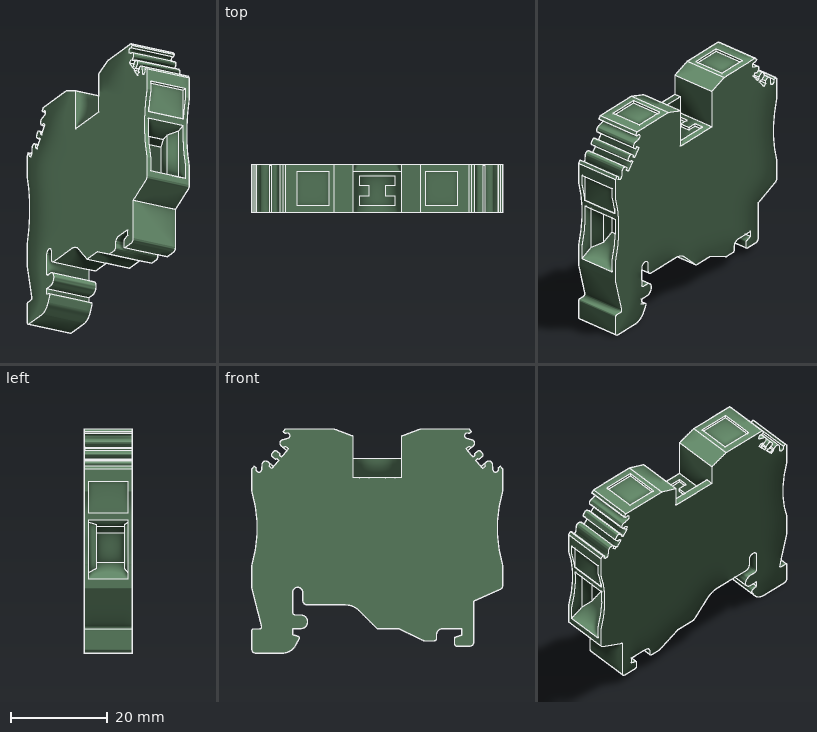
import cadquery as cq
import math

LENGTH = 52.0
WIDTH = 10.0
HEIGHT = 46.5
HALF_LENGTH = LENGTH / 2
HALF_WIDTH = WIDTH / 2
CLEARANCE = 1.0

SLOT_HALF_LENGTH = 5.0
SLOT_FLOOR_Z = 36.4
SHOULDER_HALF_LENGTH = 9.0
SHOULDER_Z = 45.0
BACK_WALL_THICKNESS = 1.5
BACK_WALL_TOP_Z = 40.35

WAIST_TOP_Z = 33.5
WAIST_BOTTOM_Z = 18.3
WAIST_DEPTH = 1.1
END_FACE_BOTTOM_Z = 13.45

RAIL_Z = 5.07
BODY_BOTTOM_Z = 10.0
HOOK_INNER_X = -17.5
FINGER_RADIUS = 1.45
FINGER_CENTER_X = -15.87
FLEX_SLOT_RADIUS = 1.02
FLEX_SLOT_TOP_Z = 13.65
FOOT_NECK_X = -23.87
RIGHT_LEG_X = 20.0
RIGHT_LEG_TOP_Z = 10.78
RIGHT_LEG_BOTTOM_Z = 1.45
LATCH_ROOT_X = 17.5
LATCH_TIP_X = 16.0
LATCH_ROOT_Z = 3.8
LATCH_TIP_Z = 3.3
LUG_X = 12.3
LUG_FLAT_X = 9.7
LUG_BOTTOM_Z = 2.54
LUG_SLOPE_X = 4.45
LUG_FILLET = 1.25

HOOK_ROOT_Z = 3.86
HOOK_TIP = (-15.95, 3.4)
HOOK_KNEE = (-16.85, 1.72)
HOOK_ARC_MIDDLE = (-17.95, 0.5)
HOOK_ARC_END = (-19.45, 0.0)

CORNER_FILLETS = [
    (0.4, [(-HALF_LENGTH, RAIL_Z), (FOOT_NECK_X, RAIL_Z), HOOK_TIP]),
    (0.3, [(LATCH_TIP_X, LATCH_TIP_Z)]),
    (0.5, [(LUG_X, LUG_BOTTOM_Z), (LATCH_TIP_X, RIGHT_LEG_BOTTOM_Z)]),
    (0.5, [(HOOK_INNER_X, RAIL_Z + 2 * FINGER_RADIUS)]),
    (0.8, [(-HALF_LENGTH, 0), (RIGHT_LEG_X, RIGHT_LEG_BOTTOM_Z)]),
    (0.8, [(-HALF_LENGTH, END_FACE_BOTTOM_Z), (HALF_LENGTH, END_FACE_BOTTOM_Z)]),
    (1.0, [(-HALF_LENGTH, WAIST_TOP_Z), (HALF_LENGTH, WAIST_TOP_Z)]),
    (1.0, [(-HALF_LENGTH, WAIST_BOTTOM_Z), (HALF_LENGTH, WAIST_BOTTOM_Z)]),
    (1.0, [(HOOK_INNER_X + 2 * FLEX_SLOT_RADIUS, BODY_BOTTOM_Z)]),
    (LUG_FILLET, [(LUG_X, RAIL_Z)]),
    (4.0, [(RAIL_Z - BODY_BOTTOM_Z, BODY_BOTTOM_Z)]),
]

CORNER_TILT = math.radians(40)
CORNER_HALF_SPAN = 5.43
TOOTH_DEPTH = 1.85
GROOVE_FLOOR = 1.28
TOOTH_FRONT = -0.72
TOOTH_BACK = 0.6
TOOTH_HALF_WIDTH = 0.75
TOOTH_ROUND = 0.48
NECK_START = 0.85
NECK_HALF_WIDTH = 0.45
NOSE_CENTER = (-0.25, 2.88)
NOSE_RADIUS = 0.75
CHANNEL_CENTER = (-0.66, 4.56)
CHANNEL_RADIUS = 0.55
LIP_OFFSET = 4.65
LIP_INNER_DEPTH = -1.28
UNDERCUT_START = 0.2
UNDERCUT_FULL = 0.55
UNDERCUT_OFFSET = 2.67
UNDERCUT_BACK_SKIN = 0.2

MARK_DEPTH = 0.6
TOP_MARK_CENTER_X = 13.3
TOP_MARK_LENGTH = 6.55
TOP_MARK_WIDTH = 7.1
BRIDGE_MARK_LENGTH = 7.45
BRIDGE_MARK_STEM = 3.45
BRIDGE_MARK_CENTER_Y = -0.48
BRIDGE_MARK_WIDTH = 6.16
BRIDGE_MARK_BAR = 2.0

END_OPENING_HALF_WIDTH = 4.08
END_RECESS_BOTTOM_Z = 29.1
END_RECESS_TOP_Z = 35.6
END_RECESS_DEPTH = 1.0
FUNNEL_BOTTOM_Z = 15.35
FUNNEL_TOP_Z = 27.9
FUNNEL_TAPER_START = 3.0
FUNNEL_TAPER_END = 5.0
FUNNEL_DEPTH = 7.7
FUNNEL_BACK_BOTTOM_Z = 18.8
FUNNEL_KINK_DEPTH = 6.6
FUNNEL_KINK_Z = 26.25
FUNNEL_BACK_TOP_Z = 24.95
FUNNEL_INNER_MIN_Y = -3.35
FUNNEL_INNER_MAX_Y = 2.45


def front_plane(y):
    """Plane parallel to XZ at the given y; extrusions from it run toward -Y."""
    return cq.Workplane("XZ", origin=(0, y, 0))


def mirrored_pair(shape):
    """The shape together with its mirror image across the YZ plane."""
    return shape.union(shape.mirror("YZ"))


def outline():
    """Profile of the block with plain slanted upper corners and sharp foot corners."""
    corner_x = HALF_LENGTH - 2 * CORNER_HALF_SPAN * math.sin(CORNER_TILT)
    corner_z = HEIGHT - 2 * CORNER_HALF_SPAN * math.cos(CORNER_TILT)
    waist_x = HALF_LENGTH - WAIST_DEPTH
    waist_z = (WAIST_TOP_Z + WAIST_BOTTOM_Z) / 2
    ramp_x = RAIL_Z - BODY_BOTTOM_Z
    finger_z = RAIL_Z + FINGER_RADIUS
    finger_top_z = RAIL_Z + 2 * FINGER_RADIUS
    flex_center_x = HOOK_INNER_X + FLEX_SLOT_RADIUS
    flex_right_x = HOOK_INNER_X + 2 * FLEX_SLOT_RADIUS
    flex_spring_z = FLEX_SLOT_TOP_Z - FLEX_SLOT_RADIUS
    return (
        front_plane(HALF_WIDTH)
        .moveTo(-corner_x, HEIGHT)
        .lineTo(-SHOULDER_HALF_LENGTH, HEIGHT)
        .lineTo(-SLOT_HALF_LENGTH, SHOULDER_Z)
        .lineTo(-SLOT_HALF_LENGTH, SLOT_FLOOR_Z)
        .lineTo(SLOT_HALF_LENGTH, SLOT_FLOOR_Z)
        .lineTo(SLOT_HALF_LENGTH, SHOULDER_Z)
        .lineTo(SHOULDER_HALF_LENGTH, HEIGHT)
        .lineTo(corner_x, HEIGHT)
        .lineTo(HALF_LENGTH, corner_z)
        .lineTo(HALF_LENGTH, WAIST_TOP_Z)
        .threePointArc((waist_x, waist_z), (HALF_LENGTH, WAIST_BOTTOM_Z))
        .lineTo(HALF_LENGTH, END_FACE_BOTTOM_Z)
        .lineTo(RIGHT_LEG_X, RIGHT_LEG_TOP_Z)
        .lineTo(RIGHT_LEG_X, RIGHT_LEG_BOTTOM_Z)
        .lineTo(LATCH_TIP_X, RIGHT_LEG_BOTTOM_Z)
        .lineTo(LATCH_TIP_X, LATCH_TIP_Z)
        .lineTo(LATCH_ROOT_X, LATCH_ROOT_Z)
        .lineTo(LATCH_ROOT_X, RAIL_Z)
        .lineTo(LUG_X, RAIL_Z)
        .lineTo(LUG_X, LUG_BOTTOM_Z)
        .lineTo(LUG_FLAT_X, LUG_BOTTOM_Z)
        .lineTo(LUG_SLOPE_X, RAIL_Z)
        .lineTo(0, RAIL_Z)
        .lineTo(ramp_x, BODY_BOTTOM_Z)
        .lineTo(flex_right_x, BODY_BOTTOM_Z)
        .lineTo(flex_right_x, flex_spring_z)
        .threePointArc((flex_center_x, FLEX_SLOT_TOP_Z), (HOOK_INNER_X, flex_spring_z))
        .lineTo(HOOK_INNER_X, finger_top_z)
        .lineTo(FINGER_CENTER_X, finger_top_z)
        .threePointArc((FINGER_CENTER_X + FINGER_RADIUS, finger_z), (FINGER_CENTER_X, RAIL_Z))
        .lineTo(HOOK_INNER_X, RAIL_Z)
        .lineTo(HOOK_INNER_X, HOOK_ROOT_Z)
        .lineTo(*HOOK_TIP)
        .lineTo(*HOOK_KNEE)
        .threePointArc(HOOK_ARC_MIDDLE, HOOK_ARC_END)
        .lineTo(-HALF_LENGTH, 0)
        .lineTo(-HALF_LENGTH, RAIL_Z)
        .lineTo(FOOT_NECK_X, RAIL_Z)
        .lineTo(-HALF_LENGTH, END_FACE_BOTTOM_Z)
        .lineTo(-HALF_LENGTH, WAIST_BOTTOM_Z)
        .threePointArc((-waist_x, waist_z), (-HALF_LENGTH, WAIST_TOP_Z))
        .lineTo(-HALF_LENGTH, corner_z)
        .close()
    )


def round_corners(block):
    """Round the corners of the outline over the full width of the block."""
    for radius, corners in CORNER_FILLETS:
        for x, z in corners:
            block = block.edges(cq.selectors.NearestToPointSelector((x, 0, z))).fillet(radius)
    return block


def corner_point(depth, offset):
    """World (x, z) of a point given in the frame of the left marker corner."""
    cosine = math.cos(CORNER_TILT)
    sine = math.sin(CORNER_TILT)
    center_x = -HALF_LENGTH + CORNER_HALF_SPAN * sine + TOOTH_DEPTH * cosine
    center_z = HEIGHT - CORNER_HALF_SPAN * cosine - TOOTH_DEPTH * sine
    return (center_x + depth * cosine + offset * sine, center_z - depth * sine + offset * cosine)


def on_circle(center, radius, angle):
    """Point on a circle; the angle is measured from the depth axis toward the offset axis."""
    return (center[0] + radius * math.cos(angle), center[1] + radius * math.sin(angle))


def marker_groove(side):
    """Material removed from one half of the left marker corner; side is +1 or -1."""

    def at(point):
        return corner_point(point[0], side * point[1])

    outside = -TOOTH_DEPTH - CLEARANCE
    tooth_round_center = (TOOTH_FRONT + TOOTH_ROUND, TOOTH_HALF_WIDTH - TOOTH_ROUND)
    channel_shift = (CHANNEL_CENTER[0] - NOSE_CENTER[0], CHANNEL_CENTER[1] - NOSE_CENTER[1])
    tangent_angle = math.atan2(channel_shift[1], channel_shift[0]) + math.acos(
        (NOSE_RADIUS + CHANNEL_RADIUS) / math.hypot(*channel_shift)
    )
    profile = (
        front_plane(HALF_WIDTH + CLEARANCE)
        .moveTo(*at((outside, 0)))
        .lineTo(*at((TOOTH_FRONT, 0)))
        .lineTo(*at((TOOTH_FRONT, tooth_round_center[1])))
        .threePointArc(
            at(on_circle(tooth_round_center, TOOTH_ROUND, 3 * math.pi / 4)),
            at((tooth_round_center[0], TOOTH_HALF_WIDTH)),
        )
        .lineTo(*at((TOOTH_BACK, TOOTH_HALF_WIDTH)))
        .lineTo(*at((NECK_START, NECK_HALF_WIDTH)))
        .lineTo(*at((GROOVE_FLOOR, NECK_HALF_WIDTH)))
        .lineTo(*at((GROOVE_FLOOR, NOSE_CENTER[1] - NOSE_RADIUS)))
        .lineTo(*at((NOSE_CENTER[0], NOSE_CENTER[1] - NOSE_RADIUS)))
        .threePointArc(
            at((NOSE_CENTER[0] - NOSE_RADIUS, NOSE_CENTER[1])),
            at(on_circle(NOSE_CENTER, NOSE_RADIUS, tangent_angle)),
        )
        .lineTo(*at(on_circle(CHANNEL_CENTER, CHANNEL_RADIUS, tangent_angle - math.pi)))
        .threePointArc(
            at(on_circle(CHANNEL_CENTER, CHANNEL_RADIUS, math.pi / 2 - CORNER_TILT)),
            at(on_circle(CHANNEL_CENTER, CHANNEL_RADIUS, math.pi - CORNER_TILT)),
        )
        .lineTo(*at((LIP_INNER_DEPTH, LIP_OFFSET)))
        .lineTo(*at((outside, LIP_OFFSET)))
        .close()
    )
    return profile.extrude(WIDTH + 2 * CLEARANCE)


def marker_undercut(side):
    """Widening of a groove below the nose; it stops short of the +Y face."""
    wall = NOSE_CENTER[1] - NOSE_RADIUS
    corners = [
        (UNDERCUT_START, wall),
        (UNDERCUT_FULL, UNDERCUT_OFFSET),
        (GROOVE_FLOOR, UNDERCUT_OFFSET),
        (GROOVE_FLOOR, wall),
    ]
    points = [corner_point(depth, side * offset) for depth, offset in corners]
    plane = front_plane(HALF_WIDTH - UNDERCUT_BACK_SKIN)
    return plane.polyline(points).close().extrude(WIDTH)


def cut_marker_corners(block):
    """Cut the serrations into both upper corners."""
    for side in (1, -1):
        block = block.cut(mirrored_pair(marker_groove(side)))
        block = block.cut(mirrored_pair(marker_undercut(side)))
    return block


def back_wall():
    """Thin wall closing the bridge slot on the +Y side."""
    return cq.Workplane("XY", origin=(0, HALF_WIDTH - BACK_WALL_THICKNESS / 2, SLOT_FLOOR_Z)).box(
        2 * SLOT_HALF_LENGTH,
        BACK_WALL_THICKNESS,
        BACK_WALL_TOP_Z - SLOT_FLOOR_Z,
        centered=(True, True, False),
    )


def top_marks():
    """Rectangular recesses in the two top faces."""
    return (
        cq.Workplane("XY", origin=(0, 0, HEIGHT - MARK_DEPTH))
        .pushPoints([(-TOP_MARK_CENTER_X, 0), (TOP_MARK_CENTER_X, 0)])
        .rect(TOP_MARK_LENGTH, TOP_MARK_WIDTH)
        .extrude(MARK_DEPTH + CLEARANCE)
    )


def bridge_mark():
    """I-shaped recess in the floor of the bridge slot."""
    bar_y = (BRIDGE_MARK_WIDTH - BRIDGE_MARK_BAR) / 2
    bars = (
        cq.Workplane("XY")
        .pushPoints([(0, -bar_y), (0, bar_y)])
        .rect(BRIDGE_MARK_LENGTH, BRIDGE_MARK_BAR)
        .extrude(MARK_DEPTH)
    )
    stem = cq.Workplane("XY").rect(BRIDGE_MARK_STEM, BRIDGE_MARK_WIDTH).extrude(MARK_DEPTH)
    return bars.union(stem).translate((0, BRIDGE_MARK_CENTER_Y, SLOT_FLOOR_Z - MARK_DEPTH))


def end_recess():
    """Flat-bottomed recess in the left end face, above the funnel."""
    return cq.Workplane("XY", origin=(-HALF_LENGTH, 0, END_RECESS_BOTTOM_Z)).box(
        2 * END_RECESS_DEPTH,
        2 * END_OPENING_HALF_WIDTH,
        END_RECESS_TOP_Z - END_RECESS_BOTTOM_Z,
        centered=(True, True, False),
    )


def wire_funnel():
    """Wire entry in the left end face: side profile and plan profile intersected."""
    face_x = -HALF_LENGTH
    back_x = face_x + FUNNEL_DEPTH
    side_profile = [
        (face_x, FUNNEL_BOTTOM_Z),
        (back_x, FUNNEL_BACK_BOTTOM_Z),
        (back_x, FUNNEL_BACK_TOP_Z),
        (face_x + FUNNEL_KINK_DEPTH, FUNNEL_KINK_Z),
        (face_x, FUNNEL_TOP_Z),
    ]
    plan_profile = [
        (face_x, -END_OPENING_HALF_WIDTH),
        (face_x + FUNNEL_TAPER_START, -END_OPENING_HALF_WIDTH),
        (face_x + FUNNEL_TAPER_END, FUNNEL_INNER_MIN_Y),
        (back_x, FUNNEL_INNER_MIN_Y),
        (back_x, FUNNEL_INNER_MAX_Y),
        (face_x + FUNNEL_TAPER_END, FUNNEL_INNER_MAX_Y),
        (face_x + FUNNEL_TAPER_START, END_OPENING_HALF_WIDTH),
        (face_x, END_OPENING_HALF_WIDTH),
    ]
    side = front_plane(HALF_WIDTH).polyline(side_profile).close().extrude(WIDTH)
    plan = cq.Workplane("XY").polyline(plan_profile).close().extrude(HEIGHT)
    return side.intersect(plan)


body = round_corners(outline().extrude(WIDTH))
body = cut_marker_corners(body)
body = body.union(back_wall())
body = body.cut(top_marks()).cut(bridge_mark())
body = body.cut(mirrored_pair(end_recess())).cut(mirrored_pair(wire_funnel()))
result = body